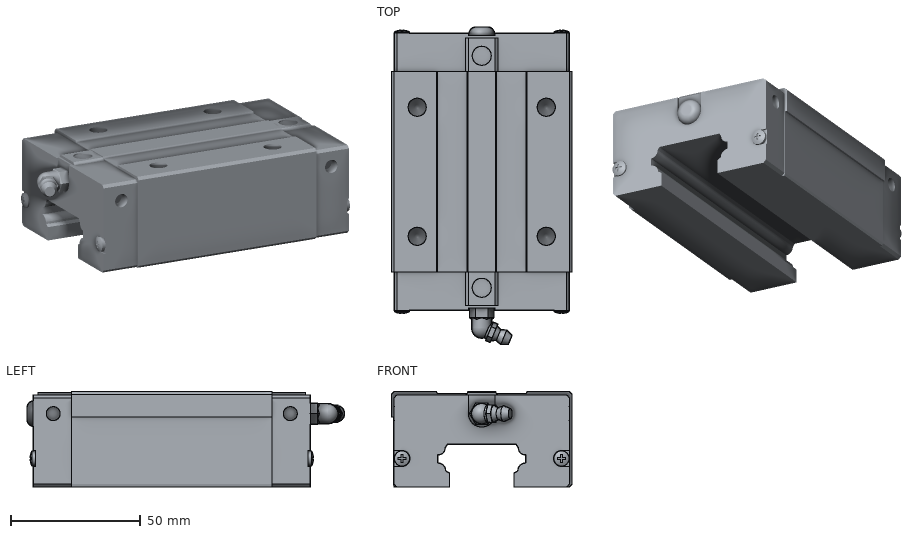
import cadquery as cq
import math


block_length = 77.8
block_width = 70.0
block_half_width = block_width / 2
block_height = 37.0
edge_chamfer = 1.1
relief_depth = 0.9
relief_height = 27.1
groove_floor = 36.3
groove_inner = 5.3
groove_outer = 17.6
groove_slope = 0.4

cap_half_width = 34.0
cap_height = 35.7
cap_length = 12.9
plate_thickness = 1.8
cap_end = block_length / 2 + cap_length
plate_end = cap_end + plate_thickness
ridge_height = 36.7
ridge_top_half = 5.2
ridge_base_half = 6.3

roof_half_width, roof_height = 13.3, 16.5
shoulder_half_width, shoulder_height = 14.0, 15.4
upper_race_start, upper_race_middle = (14.3, 14.3), (15.1, 13.0)
race_half_width, race_top, race_bottom = 17.0, 12.4, 9.4
lower_race_middle, lower_race_end = (14.9, 8.5), (14.0, 7.1)
lip_half_width, lip_height = 13.9, 6.3
mouth_half_width, mouth_height = 12.4, 5.4

mount_pitch = 50.0
mount_diameter = 7.0
mount_depth = 12.3
drill_tip_angle = 118.0

port_height = 28.4
side_port_diameter = 5.4
side_port_depth = 4.9
side_port_y = 45.9
top_port_diameter = 7.4
top_port_depth = 0.5
top_port_y = 44.9
recess_depth = 0.9
recess_floor = plate_end - recess_depth
port_recess_radius = 5.2

screw_x = 30.9
screw_height = 11.1
screw_recess_radius = 3.1
screw_radius = 3.0
screw_rim = 1.4
screw_crown = 0.7
cross_length = 3.0
cross_width = 0.7
cross_depth = 0.6

plug_radius = 5.0
plug_height = 3.3
plug_rounding = 2.8

nipple_hex_flats = 8.2
nipple_hex_length = 4.4
nipple_hex_chamfer = 0.7
elbow_radius = 4.0
elbow_y = -60.6
nipple_angle = 22.5
collar_flats = 6.8
collar_start, collar_end = 3.2, 5.2
collar_cone_radius = 3.2
neck_place, neck_radius = 7.0, 2.3
bulb_place, bulb_radius = 9.2, 3.1
tip_place, tip_radius = 12.0, 2.0


def along_y(sketch, start, end):
    """Extrude an XZ outline from y = start to y = end."""
    return sketch.extrude(end - start).translate((0, end, 0))


def end_plane(x, z, y):
    """Upright plane at (x, y, z); its normal points toward -Y."""
    return cq.Workplane("XZ", origin=(x, y, z))


def hexagon(plane, across_flats):
    return plane.polygon(6, across_flats / math.cos(math.pi / 6))


def block():
    """Block outline, counter-clockwise from the bottom left, extruded along Y."""
    half, top, chamfer = block_half_width, block_height, edge_chamfer
    relieved = half - relief_depth
    right_top = [
        (half - chamfer, top),
        (groove_outer, top),
        (groove_outer - groove_slope, groove_floor),
        (groove_inner + groove_slope, groove_floor),
        (groove_inner, top),
    ]
    left_top = [(-x, z) for x, z in reversed(right_top)]
    outline = [
        (-half + chamfer, 0),
        (half - chamfer, 0),
        (half, chamfer),
        (half, top - chamfer),
        *right_top,
        *left_top,
        (-half, top - chamfer),
        (-half, relief_height),
        (-relieved, relief_height),
        (-relieved, chamfer),
    ]
    return along_y(cq.Workplane("XZ").polyline(outline).close(), -block_length / 2, block_length / 2)


def end_caps():
    """One bar through the block; its two ends form the caps and seal plates."""
    body = cq.Workplane("XY").box(2 * cap_half_width, 2 * plate_end, cap_height)
    body = body.translate((0, 0, cap_height / 2))
    body = body.edges("|Y").chamfer(edge_chamfer)
    ridge = cq.Workplane("XZ").polyline([
        (-ridge_base_half, cap_height - edge_chamfer),
        (-ridge_base_half, cap_height),
        (-ridge_top_half, ridge_height),
        (ridge_top_half, ridge_height),
        (ridge_base_half, cap_height),
        (ridge_base_half, cap_height - edge_chamfer),
    ]).close()
    return body.union(along_y(ridge, -cap_end, cap_end))


def rail_opening():
    """Rail clearance: the +X half and its mirror image."""
    below = -1.2
    half = (
        cq.Workplane("XZ").moveTo(0, roof_height)
        .lineTo(roof_half_width, roof_height)
        .lineTo(shoulder_half_width, shoulder_height)
        .lineTo(*upper_race_start)
        .threePointArc(upper_race_middle, (race_half_width, race_top))
        .lineTo(race_half_width, race_bottom)
        .threePointArc(lower_race_middle, lower_race_end)
        .lineTo(lip_half_width, lip_height)
        .lineTo(mouth_half_width, mouth_height)
        .lineTo(mouth_half_width, below)
        .lineTo(0, below)
        .close()
    )
    right = along_y(half, -plate_end, plate_end)
    return right.union(right.mirror("YZ"))


def mounting_hole():
    """Blind drilled hole on the Z axis, down from the top face."""
    radius = mount_diameter / 2
    tip_length = radius / math.tan(math.radians(drill_tip_angle / 2))
    outline = [
        (0, block_height),
        (radius, block_height),
        (radius, block_height - mount_depth),
        (0, block_height - mount_depth - tip_length),
    ]
    return cq.Workplane("XZ").polyline(outline).close().revolve(360, (0, 0), (0, 1))


def side_port():
    """Blind oil hole in the -X side, at y = 0."""
    plane = cq.Workplane("YZ", origin=(-cap_half_width, 0, port_height))
    return plane.circle(side_port_diameter / 2).extrude(side_port_depth)


def top_port():
    plane = cq.Workplane("XY", origin=(0, 0, ridge_height))
    return plane.circle(top_port_diameter / 2).extrude(-top_port_depth)




def port_recess():
    """U-shaped recess in the seal plate, open at the top."""
    width = 2 * port_recess_radius
    rise = block_height - port_height
    plane = end_plane(0, port_height, recess_floor)
    slot = plane.center(0, rise / 2).rect(width, rise).extrude(-recess_depth)
    return slot.union(plane.circle(port_recess_radius).extrude(-recess_depth))


def screw_recess():
    """Round screw seat, open at the side of the seal plate."""
    reach = cap_half_width - screw_x
    plane = end_plane(screw_x, screw_height, recess_floor)
    slot = plane.center(reach / 2, 0).rect(reach, 2 * screw_recess_radius).extrude(-recess_depth)
    return slot.union(plane.circle(screw_recess_radius).extrude(-recess_depth))


def screw_head():
    """Domed cross-recess head, turned about Y and set in its seat."""
    crown_top = screw_rim + screw_crown
    bulge = screw_radius**2 / (2 * screw_crown) + screw_crown / 2
    middle_radius = screw_radius / 2
    middle_height = crown_top - bulge + math.sqrt(bulge**2 - middle_radius**2)
    head = (
        cq.Workplane("XY")
        .lineTo(screw_radius, 0)
        .lineTo(screw_radius, screw_rim)
        .threePointArc((middle_radius, middle_height), (0, crown_top))
        .close()
        .revolve(360, (0, 0), (0, 1))
    )
    plane = end_plane(0, 0, crown_top)
    for size in [(cross_length, cross_width), (cross_width, cross_length)]:
        head = head.cut(plane.rect(*size).extrude(cross_depth))
    return head.translate((screw_x, recess_floor, screw_height))


def plug():
    body = end_plane(0, port_height, recess_floor).circle(plug_radius).extrude(-plug_height)
    return body.faces(">Y").edges().fillet(plug_rounding)


def grease_nipple():
    base = end_plane(0, port_height, -recess_floor)
    stem_length = -recess_floor - elbow_y
    nut = hexagon(base, nipple_hex_flats).extrude(nipple_hex_length)
    nut = nut.faces("<Y").edges().chamfer(nipple_hex_chamfer)
    fitting = (
        nut.union(base.circle(elbow_radius).extrude(stem_length))
        .union(cq.Workplane("XY").sphere(elbow_radius).translate((0, elbow_y, port_height)))
    )

    outlet = cq.Workplane("XY").polyline([
        (0, 0),
        (0, collar_cone_radius),
        (collar_end, collar_cone_radius),
        (neck_place, neck_radius),
        (bulb_place, bulb_radius),
        (tip_place, tip_radius),
        (tip_place, 0),
    ]).close().revolve(360, (0, 0), (1, 0))
    collar_plane = cq.Workplane(cq.Plane((collar_start, 0, 0), xDir=(0, 1, 0), normal=(1, 0, 0)))
    outlet = outlet.union(hexagon(collar_plane, collar_flats).extrude(collar_end - collar_start))
    outlet = outlet.rotate((0, 0, 0), (0, 0, 1), -nipple_angle)
    return fitting.union(outlet.translate((0, elbow_y, port_height)))


carriage = block().union(end_caps()).cut(rail_opening())

for x in (-mount_pitch / 2, mount_pitch / 2):
    for y in (-mount_pitch / 2, mount_pitch / 2):
        carriage = carriage.cut(mounting_hole().translate((x, y, 0)))

for y in (-side_port_y, side_port_y):
    port = side_port().translate((0, y, 0))
    carriage = carriage.cut(port).cut(port.mirror("YZ"))

for y in (-top_port_y, top_port_y):
    carriage = carriage.cut(top_port().translate((0, y, 0)))

carriage = carriage.cut(port_recess()).cut(port_recess().mirror("XZ"))

for screw_seat, head in [
    (screw_recess(), screw_head()),
    (screw_recess().mirror("YZ"), screw_head().mirror("YZ")),
]:
    carriage = carriage.cut(screw_seat).cut(screw_seat.mirror("XZ"))
    carriage = carriage.union(head).union(head.mirror("XZ"))

result = carriage.union(plug()).union(grease_nipple())